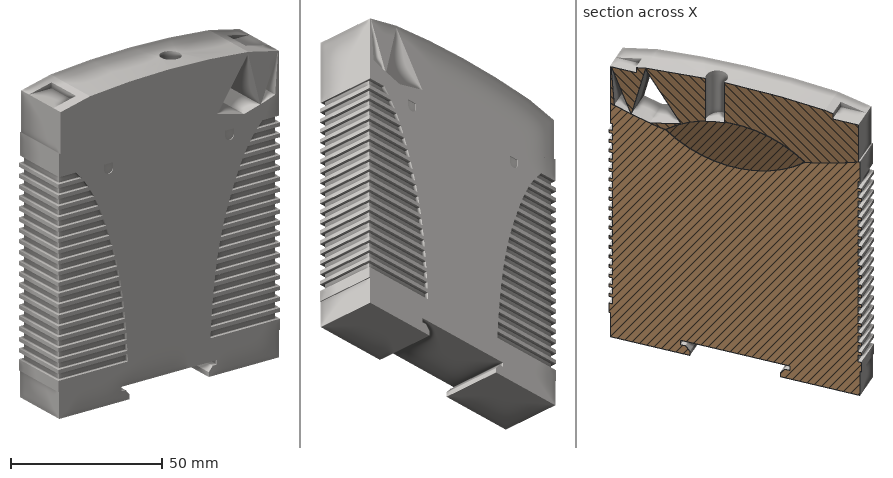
import cadquery as cq
import math

width = 22.5
depth = 90.0
height = 114.7

fin_half_depth = depth / 2
body_half_depth = 44.6
foot_top = 9.7

seam_low = 87.4
seam_end = 95.4
seam_rise = seam_end - seam_low
seam_radius = (body_half_depth**2 + seam_rise**2) / (2 * seam_rise)

rail_half_width = 19.4
rail_depth = 5.3
lip_height = 3.7
lip_slope_start = 17.7
lip_half_gap = 16.0
lip_slope_end = 1.7

groove_count = 19
groove_height = 2.5
groove_bottom = 13.8
groove_top = 86.9
groove_pitch = (groove_top - groove_bottom - groove_height) / (groove_count - 1)
groove_side_depth = 1.3
groove_end_depth = 1.1
groove_limit = [
    (16.7, groove_bottom),
    (18.9, 37.8),
    (22.2, 54.5),
    (27.1, 68.8),
    (32.6, 80.3),
    (37.8, groove_top),
]

mark_width = 3.7
mark_height = 3.8
mark_depth = 0.2
mark_offset = 24.5

lens_half_length = 24.7
lens_half_height = 8.7

cover_front = -44.0
cover_back = body_half_depth
cover_end_height = 110.2
crown_half_depth = 32.1
crown_end_height = 113.0

pocket_front_width = 13.9
pocket_front_shift = 0.1
pocket_front_edge = -34.9
pocket_back_width = 10.7
pocket_back_shift = -0.1
pocket_back_edge = 35.3

hole_diameter = 7.5
hole_x = 1.8
hole_y = 7.2

window_end_top = (44.2, 109.9)
window_end_foot = 43.0
strut_foot_back = 37.3
strut_foot_front = 36.9
window_apex = (32.0, 112.3)
window_floor_front = 30.4
window_front_corner = (19.5, 93.7)

clearance = 5.7


def side_sketch():
    """Workplane whose local axes are Y and Z, at the -X face."""
    return cq.Workplane("YZ", origin=(-width / 2, 0, 0))


def seam_point(y):
    """Point of the seam arc at depth y."""
    return (y, seam_low + seam_radius - math.sqrt(seam_radius**2 - y**2))


def box_between(x_range, y_range, z_range):
    size = [high - low for low, high in (x_range, y_range, z_range)]
    corner = (x_range[0], y_range[0], z_range[0])
    return cq.Workplane("XY").box(*size, centered=False).translate(corner)


def make_lens():
    middle = seam_point(lens_half_length)[1]
    return (
        side_sketch()
        .moveTo(-lens_half_length, middle)
        .threePointArc((0, middle + lens_half_height), (lens_half_length, middle))
        .threePointArc((0, middle - lens_half_height), (-lens_half_length, middle))
        .close()
        .extrude(width)
    )


def make_housing_block():
    """Housing without grooves: stepped ends, rail slot and arched seam on top."""
    half_outline = [
        (rail_half_width, rail_depth),
        (rail_half_width, lip_height),
        (lip_slope_start, lip_height),
        (lip_half_gap, lip_slope_end),
        (lip_half_gap, 0),
        (body_half_depth, 0),
        (body_half_depth, foot_top),
        (fin_half_depth, foot_top),
        (fin_half_depth, groove_top),
        (body_half_depth, groove_top),
        seam_point(body_half_depth),
    ]
    mirrored = [(-y, z) for y, z in half_outline]
    return (
        side_sketch()
        .polyline(half_outline)
        .threePointArc(seam_point(0), mirrored[-1])
        .polyline(mirrored[-2::-1], includeCurrent=True)
        .close()
        .extrude(width)
    )


def make_grooves():
    """Stack of slabs limited to the finned zones, less the core left standing inside."""
    outer_y = fin_half_depth + clearance
    outer_x = width / 2 + clearance
    zone = (
        cq.Workplane("YZ", origin=(-outer_x, 0, 0))
        .moveTo(*groove_limit[0])
        .spline(groove_limit[1:], includeCurrent=True)
        .lineTo(outer_y, groove_top)
        .lineTo(outer_y, groove_bottom)
        .close()
        .extrude(2 * outer_x)
    )
    core_x = width / 2 - groove_side_depth
    core_y = fin_half_depth - groove_end_depth
    core = box_between((-core_x, core_x), (-core_y, core_y), (0, height))
    ring_zone = zone.union(zone.mirror("XZ")).cut(core)
    slabs = []
    for index in range(groove_count):
        bottom = groove_bottom + index * groove_pitch
        slab = box_between((-outer_x, outer_x), (-outer_y, outer_y), (bottom, bottom + groove_height))
        slabs.append(slab.val())
    return ring_zone.intersect(cq.Workplane(cq.Compound.makeCompound(slabs)))


def make_mark(x_start, y):
    """Shallow recess with a flat top and a half-round bottom."""
    radius = mark_width / 2
    arc_height = groove_top - mark_height + radius
    return (
        cq.Workplane("YZ", origin=(x_start, 0, 0))
        .moveTo(y - radius, groove_top)
        .lineTo(y - radius, arc_height)
        .threePointArc((y, arc_height - radius), (y + radius, arc_height))
        .lineTo(y + radius, groove_top)
        .close()
        .extrude(mark_depth)
    )


def make_housing(lens):
    housing = make_housing_block().cut(make_grooves()).cut(lens)
    for x_start in (-width / 2, width / 2 - mark_depth):
        for y in (-mark_offset, mark_offset):
            housing = housing.cut(make_mark(x_start, y))
    return housing


def make_end_pocket(middle_x, pocket_width, y_range):
    x_range = (middle_x - pocket_width / 2, middle_x + pocket_width / 2)
    return box_between(x_range, y_range, (cover_end_height, height))


def make_windows():
    """Two openings whose floor is the housing top."""
    end_middle = (window_end_foot + strut_foot_back) / 2
    end_window = (
        side_sketch()
        .moveTo(*window_end_top)
        .lineTo(*seam_point(window_end_foot))
        .threePointArc(seam_point(end_middle), seam_point(strut_foot_back))
        .close()
        .extrude(width)
    )
    inner_middle = (strut_foot_front + window_floor_front) / 2
    inner_window = (
        side_sketch()
        .moveTo(*window_apex)
        .lineTo(*seam_point(strut_foot_front))
        .threePointArc(seam_point(inner_middle), seam_point(window_floor_front))
        .lineTo(*window_front_corner)
        .close()
        .extrude(width)
    )
    return end_window.union(inner_window)


def make_cover(lens):
    cover = (
        side_sketch()
        .moveTo(*seam_point(cover_front))
        .lineTo(cover_front, cover_end_height)
        .lineTo(-crown_half_depth, crown_end_height)
        .threePointArc((0, height), (crown_half_depth, crown_end_height))
        .lineTo(cover_back, cover_end_height)
        .lineTo(*seam_point(cover_back))
        .threePointArc(seam_point(0), seam_point(cover_front))
        .close()
        .extrude(width)
    )
    front_range = (cover_front - clearance, pocket_front_edge)
    back_range = (pocket_back_edge, cover_back + clearance)
    front_pocket = make_end_pocket(pocket_front_shift, pocket_front_width, front_range)
    back_pocket = make_end_pocket(pocket_back_shift, pocket_back_width, back_range)
    hole = (
        cq.Workplane("XY", origin=(hole_x, hole_y, seam_low))
        .circle(hole_diameter / 2)
        .extrude(height - seam_low)
    )
    return cover.cut(lens).cut(front_pocket).cut(back_pocket).cut(hole).cut(make_windows())


lens = make_lens()
housing = make_housing(lens)
cover = make_cover(lens)

result = cq.Compound.makeCompound([housing.solids().val(), cover.solids().val(), lens.val()])